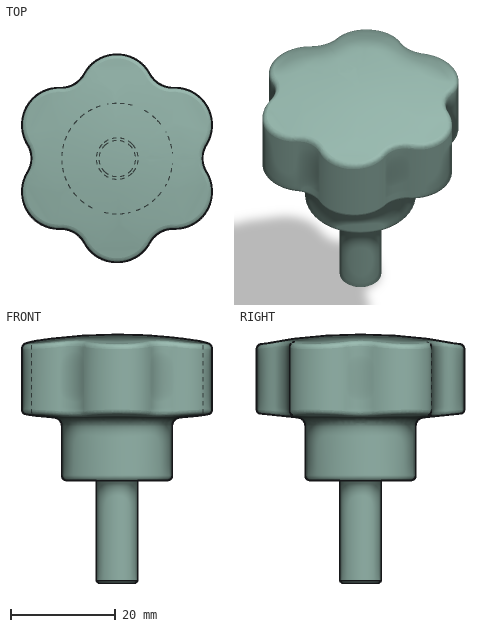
import cadquery as cq
import math

lobe_count = 6
first_lobe_angle = 90.0
head_radius = 20.0
lobe_radius = 7.19
pitch_angle = 360.0 / lobe_count
lobe_center_radius = head_radius - lobe_radius
valley_radius = 5.0
half_pitch = math.radians(pitch_angle / 2)
lobe_offset = lobe_center_radius * math.sin(half_pitch)
center_distance = lobe_radius + valley_radius
valley_center_radius = lobe_center_radius * math.cos(half_pitch) + math.sqrt(
    center_distance**2 - lobe_offset**2
)
valley_floor_radius = valley_center_radius - valley_radius
tangent_turn = pitch_angle / 2 + math.degrees(math.asin(lobe_offset / center_distance))

head_top = 28.1
dome_radius = 100.0
underside_center_height = 11.6
underside_radius = 150.0
top_rim_fillet = 1.0
bottom_rim_fillet = 0.8

hub_diameter = 21.3
hub_height = 14.0
hub_edge_fillet = 1.0
neck_fillet = 1.5
stud_diameter = 8.0
stud_length = 19.75
stud_chamfer = 0.5


def polar(radius, angle):
    """X, Y of a point at the given radius and angle in degrees."""
    turn = math.radians(angle)
    return (radius * math.cos(turn), radius * math.sin(turn))


def lobe_end(axis_angle, side):
    """End point of a lobe arc; side is -1 or +1 along the outline."""
    center_x, center_y = polar(lobe_center_radius, axis_angle)
    offset_x, offset_y = polar(lobe_radius, axis_angle + side * tangent_turn)
    return (center_x + offset_x, center_y + offset_y)


def head_outline():
    """Alternating lobe and valley arcs around the head."""
    outline = cq.Workplane("XY").moveTo(*lobe_end(first_lobe_angle, -1))
    for index in range(lobe_count):
        axis = first_lobe_angle + index * pitch_angle
        outline = outline.threePointArc(polar(head_radius, axis), lobe_end(axis, 1))
        valley = polar(valley_floor_radius, axis + pitch_angle / 2)
        outline = outline.threePointArc(valley, lobe_end(axis + pitch_angle, -1))
    return outline.close()


def make_head():
    """Star prism bounded by a shallow dome above and a shallow bowl below."""
    prism = head_outline().extrude(head_top)
    dome = cq.Workplane("XY").sphere(dome_radius).translate((0, 0, head_top - dome_radius))
    bowl = cq.Workplane("XY").sphere(underside_radius)
    bowl = bowl.translate((0, 0, underside_center_height + underside_radius))
    head = prism.intersect(dome).intersect(bowl)
    head = head.faces(">Z").edges().fillet(top_rim_fillet)
    return head.faces("<Z").edges().fillet(bottom_rim_fillet)


def make_hub():
    hub = cq.Workplane("XY").circle(hub_diameter / 2).extrude(hub_height)
    return hub.faces("<Z").edges().fillet(hub_edge_fillet)


def make_stud():
    stud = cq.Workplane("XY").circle(stud_diameter / 2).extrude(-stud_length)
    return stud.faces("<Z").edges().chamfer(stud_chamfer)


def fillet_neck(body):
    """Round the circular corner where the hub meets the underside of the head."""
    reach = hub_diameter / 2 + neck_fillet
    seam_box = cq.selectors.BoxSelector(
        (-reach, -reach, hub_edge_fillet + neck_fillet), (reach, reach, hub_height), boundingbox=True
    )
    return body.edges(seam_box).edges("%CIRCLE").fillet(neck_fillet)


knob = fillet_neck(make_head().union(make_hub()))
result = knob.union(make_stud())